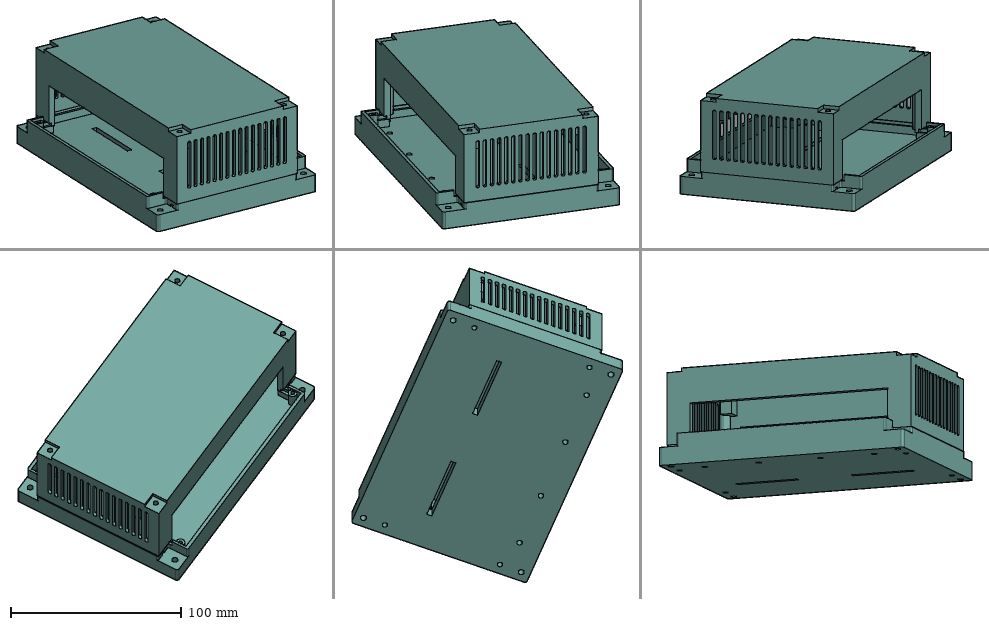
import cadquery as cq
BASE_LENGTH = 155.0
BASE_WIDTH = 110.8
WALL_TOP = 18.6
RIM_TOP = 14.7
LEDGE_TOP = 12.5
PAD_TOP = 10.8
FLOOR_TOP = 7.8
CORNER_RADIUS = 1.5
WALL_EDGE_RADIUS = 1.1
RIM_RADIUS = 1.1

SIDE_WALL = 2.2
RIM_WALL = 1.5
LEDGE_WIDTH = 1.7
PAD_LENGTH = 11.3
PAD_BACK_Y = 41.8
STEP_Y = 44.3

PAD_HOLE_X = 71.8
PAD_HOLE_Y = 49.9
PAD_HOLE_DIAMETER = 3.4
BOSS_X = 63.2
BOSS_Y = 48.5
BOSS_TOP = 17.0
BOSS_DIAMETER = 5.3
BOSS_HOLE_DIAMETER = 2.2
NOTCH_WIDTH = 2.0
NOTCH_HEIGHT = 1.2
NOTCH_DEPTH = 1.5
SLOT_X = 36.6
SLOT_Y = -14.5
SLOT_LENGTH = 38.5
SLOT_WIDTH = 3.1
FLOOR_HOLE_XS = (19.5, 53.6)
FLOOR_HOLE_Y = 41.7
FLOOR_HOLE_DIAMETER = 3.1

TOTAL_HEIGHT = 60.3
COVER_LENGTH = 154.4
COVER_WIDTH = 84.0
COVER_SHIFT = 0.3
COVER_END_WALL = 2.2
COVER_SIDE_WALL = 3.9
ROOF = 3.7
WINDOW_LENGTH = 125.1
WINDOW_TOP = 38.9
RECESS_LENGTH = 9.1
RECESS_WIDTH = 9.8
RECESS_DEPTH = 2.2
BLOCK_SIZE = 12.5
BLOCK_BOTTOM = 45.7
SCREW_X = 71.6
SCREW_Y = 36.5
SCREW_DIAMETER = 3.0
COLUMN_DIAMETER = 6.5
VENT_COUNT = 16
VENT_SPAN = 66.6
VENT_WIDTH = 2.2
VENT_BOTTOM = 23.1
VENT_TOP = 53.0

HALF_LENGTH = BASE_LENGTH / 2
HALF_WIDTH = BASE_WIDTH / 2
PAD_INNER_X = HALF_LENGTH - PAD_LENGTH
COVER_HALF_LENGTH = COVER_LENGTH / 2
COVER_HALF_WIDTH = COVER_WIDTH / 2
COVER_INNER_X = COVER_HALF_LENGTH - COVER_END_WALL
COVER_INNER_Y = COVER_HALF_WIDTH - COVER_SIDE_WALL
CORNERS = [(sx, sy) for sx in (-1, 1) for sy in (-1, 1)]


def block(x_min, x_max, y_min, y_max, z_min, z_max):
    """Box given by its limits along each axis."""
    return (
        cq.Workplane("XY")
        .box(x_max - x_min, y_max - y_min, z_max - z_min, centered=False)
        .translate((x_min, y_min, z_min))
    )


def centred_block(half_x, half_y, z_min, z_max):
    """Box centred on the Z axis."""
    return block(-half_x, half_x, -half_y, half_y, z_min, z_max)


def corner_block(sx, sy, x_range, y_range, z_range):
    """Box in the quadrant (sx, sy), given by its distances from the centre."""
    x_limits = sorted(sx * x for x in x_range)
    y_limits = sorted(sy * y for y in y_range)
    return block(*x_limits, *y_limits, *z_range)


def post(x, y, diameter, z_min, z_max):
    """Upright cylinder."""
    return cq.Workplane("XY", origin=(x, y, z_min)).circle(diameter / 2).extrude(z_max - z_min)


def base_cavity(side_wall, end_wall, z_min, z_max):
    """Cavity: a wide middle plus a narrower part that reaches between the pads to the ends."""
    middle = centred_block(PAD_INNER_X - end_wall, HALF_WIDTH - side_wall, z_min, z_max)
    ends = centred_block(HALF_LENGTH - end_wall, PAD_BACK_Y - end_wall, z_min, z_max)
    return middle.union(ends)


def make_outer_base():
    """Solid base: full-plan slab below the pads, cross-shaped plan above them."""
    slab = centred_block(HALF_LENGTH, HALF_WIDTH, 0, PAD_TOP).edges("|Z").fillet(CORNER_RADIUS)
    walls = centred_block(PAD_INNER_X, HALF_WIDTH, PAD_TOP, WALL_TOP)
    walls = walls.edges("|Z").fillet(WALL_EDGE_RADIUS)
    rim = centred_block(HALF_LENGTH, PAD_BACK_Y, PAD_TOP, WALL_TOP)
    rim = rim.edges("|Z").fillet(RIM_RADIUS)
    upper = walls.union(rim)
    for sx, sy in CORNERS:
        inside_corner = cq.selectors.NearestToPointSelector(
            (sx * PAD_INNER_X, sy * PAD_BACK_Y, (PAD_TOP + WALL_TOP) / 2)
        )
        upper = upper.edges(inside_corner).fillet(RIM_RADIUS)
    rim_clearance = centred_block(HALF_LENGTH, STEP_Y, RIM_TOP, WALL_TOP)
    return slab.union(upper.cut(rim_clearance))


def make_base():
    """Tray with a raised wall along each long side and a mounting pad at each corner."""
    base = make_outer_base()

    base = base.cut(base_cavity(SIDE_WALL, RIM_WALL, LEDGE_TOP, WALL_TOP))
    base = base.cut(base_cavity(SIDE_WALL, RIM_WALL + LEDGE_WIDTH, FLOOR_TOP, LEDGE_TOP))

    for sx, sy in CORNERS:
        boss = post(sx * BOSS_X, sy * BOSS_Y, BOSS_DIAMETER, FLOOR_TOP, BOSS_TOP)
        cavity_side = centred_block(PAD_INNER_X - RIM_WALL, HALF_WIDTH - SIDE_WALL, FLOOR_TOP, BOSS_TOP)
        base = base.union(boss.intersect(cavity_side))
        boss_hole = post(sx * BOSS_X, sy * BOSS_Y, BOSS_HOLE_DIAMETER, FLOOR_TOP, BOSS_TOP)
        base = base.cut(boss_hole.intersect(cavity_side))

        base = base.cut(post(sx * PAD_HOLE_X, sy * PAD_HOLE_Y, PAD_HOLE_DIAMETER, 0, PAD_TOP))
        base = base.cut(post(sx * SCREW_X, sy * SCREW_Y, SCREW_DIAMETER, 0, FLOOR_TOP))

        notch_x = (SCREW_X - NOTCH_WIDTH / 2, SCREW_X + NOTCH_WIDTH / 2)
        notch_y = (PAD_BACK_Y - NOTCH_DEPTH, PAD_BACK_Y)
        base = base.cut(corner_block(sx, sy, notch_x, notch_y, (PAD_TOP, PAD_TOP + NOTCH_HEIGHT)))

    for side in (-1, 1):
        slot = centred_block(SLOT_LENGTH / 2, SLOT_WIDTH / 2, 0, FLOOR_TOP)
        base = base.cut(slot.translate((side * SLOT_X, SLOT_Y, 0)))
        for hole_x in FLOOR_HOLE_XS:
            base = base.cut(post(side * hole_x, FLOOR_HOLE_Y, FLOOR_HOLE_DIAMETER, 0, FLOOR_TOP))
    return base


def cut_vents(cover):
    """Row of upright round-ended slots through both end walls."""
    vent_length = VENT_TOP - VENT_BOTTOM
    pitch = VENT_SPAN / (VENT_COUNT - 1)
    positions = [(i * pitch - VENT_SPAN / 2, 0) for i in range(VENT_COUNT)]
    vents = (
        cq.Workplane("YZ", origin=(0, 0, (VENT_BOTTOM + VENT_TOP) / 2))
        .pushPoints(positions)
        .slot2D(vent_length, VENT_WIDTH, 90)
        .extrude(COVER_HALF_LENGTH, both=True)
    )
    interior = centred_block(COVER_INNER_X, COVER_HALF_WIDTH, 0, TOTAL_HEIGHT)
    return cover.cut(vents.cut(interior))


def make_cover():
    """Hood with vented ends and a window in each long side."""
    cover = centred_block(COVER_HALF_LENGTH, COVER_HALF_WIDTH, RIM_TOP, TOTAL_HEIGHT)
    skirt = centred_block(COVER_INNER_X, PAD_BACK_Y - RIM_WALL, LEDGE_TOP, RIM_TOP)
    cover = cover.union(skirt)
    cover = cover.cut(centred_block(COVER_INNER_X, COVER_INNER_Y, LEDGE_TOP, TOTAL_HEIGHT - ROOF))

    for sx, sy in CORNERS:
        block_x = (COVER_HALF_LENGTH - BLOCK_SIZE, SCREW_X)
        block_y = (COVER_HALF_WIDTH - BLOCK_SIZE, COVER_HALF_WIDTH)
        cover = cover.union(corner_block(sx, sy, block_x, block_y, (BLOCK_BOTTOM, TOTAL_HEIGHT)))
        cover = cover.union(post(sx * SCREW_X, sy * SCREW_Y, COLUMN_DIAMETER, LEDGE_TOP, TOTAL_HEIGHT))

    for sx, sy in CORNERS:
        recess_x = (COVER_HALF_LENGTH - RECESS_LENGTH, COVER_HALF_LENGTH)
        recess_y = (COVER_HALF_WIDTH - RECESS_WIDTH, COVER_HALF_WIDTH)
        recess_z = (TOTAL_HEIGHT - RECESS_DEPTH, TOTAL_HEIGHT)
        cover = cover.cut(corner_block(sx, sy, recess_x, recess_y, recess_z))
        cover = cover.cut(post(sx * SCREW_X, sy * SCREW_Y, SCREW_DIAMETER, LEDGE_TOP, TOTAL_HEIGHT))

    cover = cover.cut(centred_block(WINDOW_LENGTH / 2, COVER_HALF_WIDTH, LEDGE_TOP, WINDOW_TOP))
    return cut_vents(cover).translate((COVER_SHIFT, 0, 0))


base = make_base().solids()
cover = make_cover().solids()

result = cq.Compound.makeCompound([base.val(), cover.val()])